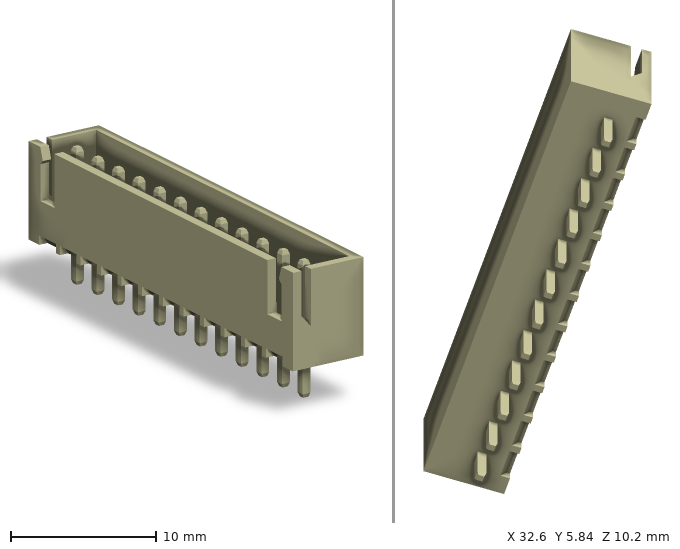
import cadquery as cq

LENGTH = 32.61
DEPTH = 5.84
HEIGHT = 7.2
TOTAL_HEIGHT = 10.21
WALL = 0.7
FLOOR = 1.2

PIN_COUNT = 12
PITCH = 2.54
PIN_WIDTH = 0.64
PIN_TIP_WIDTH = 0.42
PIN_TAPER = 0.3
PIN_TOP_GAP = 0.2
PIN_FROM_FRONT = 2.48

END_SLOT_WIDTH = 0.78
END_SLOT_FRONT_DEPTH = 3.3
END_SLOT_BACK_DEPTH = 4.18

TAB_WIDTH = 1.45
FRONT_SLOT_WIDTH = 1.72
FRONT_SLOT_DEPTH = 3.95
BUMP_TIP_WIDTH = 1.75
BUMP_TIP_DEPTH = 0.95
BUMP_BASE_DEPTH = 1.25

NOTCH_WIDTH = 2.04
NOTCH_HEIGHT = 0.68
NOTCH_DEPTH = WALL
NOTCH_ROOF_DEPTH = 0.23

FRONT_Y = -DEPTH / 2
END_X = LENGTH / 2
PIN_BOTTOM_Z = HEIGHT - TOTAL_HEIGHT
PIN_TOP_Z = HEIGHT - PIN_TOP_GAP
PIN_Y = FRONT_Y + PIN_FROM_FRONT
PIN_XS = [(i - (PIN_COUNT - 1) / 2) * PITCH for i in range(PIN_COUNT)]


def shell():
    """Box with an open-topped rectangular cavity."""
    outer = cq.Workplane("XY").box(LENGTH, DEPTH, HEIGHT, centered=(True, True, False))
    cavity = (
        cq.Workplane("XY", origin=(0, 0, FLOOR))
        .rect(LENGTH - 2 * WALL, DEPTH - 2 * WALL)
        .extrude(HEIGHT - FLOOR)
    )
    return outer.cut(cavity)


def end_slots():
    """Prism through both end walls, running along the whole length."""
    slot_front = FRONT_Y + WALL
    slot_back = slot_front + END_SLOT_WIDTH
    profile = [
        (slot_front, HEIGHT),
        (slot_front, HEIGHT - END_SLOT_FRONT_DEPTH),
        (slot_back, HEIGHT - END_SLOT_BACK_DEPTH),
        (slot_back, HEIGHT),
    ]
    return cq.Workplane("YZ", origin=(-END_X, 0, 0)).polyline(profile).close().extrude(LENGTH)


def front_slot(side):
    """Slot through the front wall; side is -1 for the -X end and +1 for the +X end."""
    slot_end = TAB_WIDTH + FRONT_SLOT_WIDTH
    inset_and_depth = [
        (TAB_WIDTH, 0),
        (BUMP_TIP_WIDTH, BUMP_TIP_DEPTH),
        (TAB_WIDTH, BUMP_BASE_DEPTH),
        (TAB_WIDTH, FRONT_SLOT_DEPTH),
        (slot_end, FRONT_SLOT_DEPTH),
        (slot_end, 0),
    ]
    outline = [(side * (END_X - inset), HEIGHT - depth) for inset, depth in inset_and_depth]
    return cq.Workplane("XZ", origin=(0, FRONT_Y, 0)).polyline(outline).close().extrude(-WALL)


def notch(x):
    """Notch in the bottom front edge, in line with the pin at x, with a sloping back."""
    profile = [
        (FRONT_Y, 0),
        (FRONT_Y, NOTCH_HEIGHT),
        (FRONT_Y + NOTCH_ROOF_DEPTH, NOTCH_HEIGHT),
        (FRONT_Y + NOTCH_DEPTH, 0),
    ]
    start = (x - NOTCH_WIDTH / 2, 0, 0)
    return cq.Workplane("YZ", origin=start).polyline(profile).close().extrude(NOTCH_WIDTH)


def pin_tip(x, base_z, direction):
    """Pyramid frustum on a pin end; direction is +1 upward or -1 downward."""
    return (
        cq.Workplane("XY", origin=(x, PIN_Y, base_z))
        .rect(PIN_WIDTH, PIN_WIDTH)
        .workplane(offset=direction * PIN_TAPER)
        .rect(PIN_TIP_WIDTH, PIN_TIP_WIDTH)
        .loft(combine=True)
    )


def pin(x):
    """Square pin with a tapered tip at both ends."""
    shank_bottom = PIN_BOTTOM_Z + PIN_TAPER
    shank_top = PIN_TOP_Z - PIN_TAPER
    shank = (
        cq.Workplane("XY", origin=(x, PIN_Y, shank_bottom))
        .rect(PIN_WIDTH, PIN_WIDTH)
        .extrude(shank_top - shank_bottom)
    )
    return shank.union(pin_tip(x, shank_top, 1)).union(pin_tip(x, shank_bottom, -1))


result = shell().cut(end_slots())
for end in (-1, 1):
    result = result.cut(front_slot(end))
for pin_x in PIN_XS:
    result = result.cut(notch(pin_x)).union(pin(pin_x))